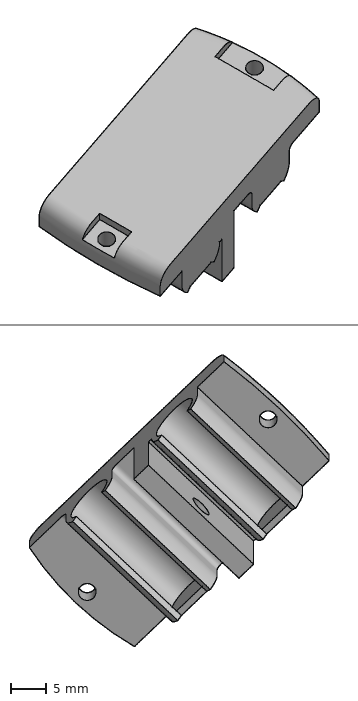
import cadquery as cq
import math

width = 21.0
length = 40.95
plate_thickness = 5.0
back_bow = 1.23
front_bow = 0.57
end_round = 2.5

screw_hole_diameter = 2.5
screw_hole_y = 18.17
seat_depth = 1.5
back_seat_width = 10.15
back_seat_inner_y = 15.68
front_seat_width = 5.53
front_seat_inner_y = -15.95

bore_radius = 3.6
clip_radius = 4.63
back_clip_y = 7.25
front_clip_y = -9.9
clip_z = -plate_thickness - bore_radius
mouth_half_angle = math.radians(45)
clip_root_round = 1.0
stop_thickness = 1.0

rib_thickness = 2.95
rib_back_y = -1.75
rib_bottom_z = -19.0
rib_hole_diameter = 3.2
rib_hole_z = -15.3

half_width = width / 2
half_length = length / 2
rib_front_y = rib_back_y - rib_thickness


def box(x_min, x_max, y_min, y_max, z_min, z_max):
    size = (x_max - x_min, y_max - y_min, z_max - z_min)
    return cq.Workplane().box(*size, centered=False).translate((x_min, y_min, z_min))


def x_cylinder(radius, center_y, x_min, x_max):
    """Cylinder along X on the axis of the clip at center_y."""
    return cq.Workplane("YZ", origin=(x_min, center_y, clip_z)).circle(radius).extrude(x_max - x_min)


def make_plate():
    """Plate with both bowed ends rounded over along the top."""
    back_corner_y = half_length - back_bow
    front_corner_y = front_bow - half_length
    outline = (
        cq.Workplane()
        .moveTo(-half_width, front_corner_y)
        .threePointArc((0, -half_length), (half_width, front_corner_y))
        .lineTo(half_width, back_corner_y)
        .threePointArc((0, half_length), (-half_width, back_corner_y))
        .close()
    )
    plate = outline.extrude(-plate_thickness)
    return plate.faces(">Z").edges("%CIRCLE").fillet(end_round)


def make_clip(center_y):
    """C-shaped clip, open downwards, closed at its +X end by a stop wall."""
    body = box(
        -half_width, half_width, center_y - clip_radius, center_y + clip_radius, clip_z, -plate_thickness
    ).union(x_cylinder(clip_radius, center_y, -half_width, half_width))

    mouth_depth = 2 * clip_radius
    mouth_half_width = mouth_depth * math.tan(mouth_half_angle)
    mouth = (
        cq.Workplane("YZ", origin=(-half_width, center_y, clip_z))
        .polyline([(0, 0), (-mouth_half_width, -mouth_depth), (mouth_half_width, -mouth_depth)])
        .close()
        .extrude(width)
    )
    clip = body.cut(mouth).cut(x_cylinder(bore_radius, center_y, -half_width, half_width))

    lip_z = clip_z - bore_radius * math.cos(mouth_half_angle)
    stop_start_x = half_width - stop_thickness
    above_lips = box(
        stop_start_x, half_width, center_y - bore_radius, center_y + bore_radius, lip_z, -plate_thickness
    )
    stop = x_cylinder(bore_radius, center_y, stop_start_x, half_width).intersect(above_lips)
    return clip.union(stop)


def make_clip_root(center_y, side):
    """Concave round between the plate and one side (+1 or -1) of a clip."""
    return (
        cq.Workplane("YZ", origin=(-half_width, center_y + side * clip_radius, -plate_thickness))
        .lineTo(side * clip_root_round, 0)
        .radiusArc((0, -clip_root_round), -side * clip_root_round)
        .close()
        .extrude(width)
    )


def make_rib():
    """Hanging rib with a cross hole, tied to the front clip by a web."""
    rib = box(-half_width, half_width, rib_front_y, rib_back_y, rib_bottom_z, -plate_thickness)
    hole = (
        cq.Workplane("XZ", origin=(0, rib_back_y, 0))
        .center(0, rib_hole_z)
        .circle(rib_hole_diameter / 2)
        .extrude(rib_thickness)
    )
    web = box(
        -half_width, half_width, front_clip_y + clip_radius, rib_front_y, clip_z, -plate_thickness
    )
    return rib.cut(hole).union(web)


def make_seat_cutter(seat_width, y_min, y_max, hole_y):
    """Rectangular seat open at the plate end, with a screw hole through its floor."""
    seat = box(-seat_width / 2, seat_width / 2, y_min, y_max, -seat_depth, 0)
    hole = (
        cq.Workplane(origin=(0, hole_y, 0)).circle(screw_hole_diameter / 2).extrude(-plate_thickness)
    )
    return seat.union(hole)


result = make_plate()
for clip_y in (back_clip_y, front_clip_y):
    result = result.union(make_clip(clip_y))
for clip_side in (1, -1):
    result = result.union(make_clip_root(back_clip_y, clip_side))
result = result.union(make_rib())
result = result.cut(make_seat_cutter(back_seat_width, back_seat_inner_y, half_length, screw_hole_y))
result = result.cut(make_seat_cutter(front_seat_width, -half_length, front_seat_inner_y, -screw_hole_y))